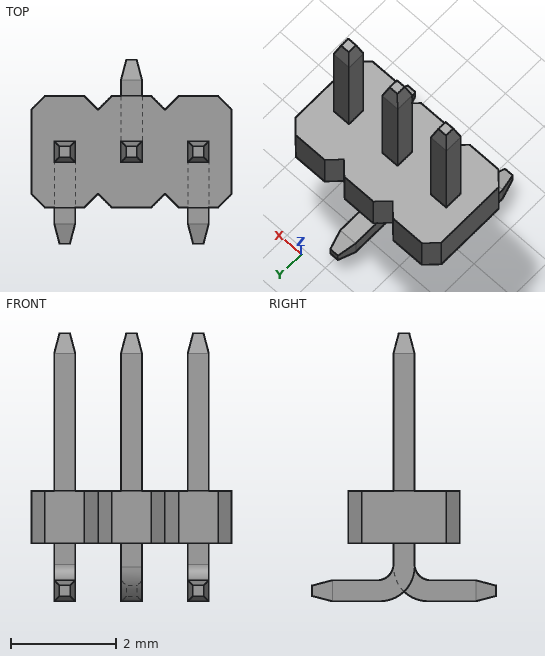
import cadquery as cq
import math

pin_count = 3
pitch = 1.27
total_height = 5.1
tail_span = 3.5

body_depth = 2.12
body_height = 1.0
body_bottom = 1.1
corner_x = 0.26
corner_y = 0.26

pin_width = 0.405
half_pin = pin_width / 2
tip_length = 0.38
tip_width = pin_width / 2
outer_bend_radius = 0.66
inner_bend_radius = 0.305
tail_reach = tail_span / 2


def body_cell(x):
    """One octagonal cell of the body, centred on its pin."""
    inner_x = pitch / 2 - corner_x
    inner_y = body_depth / 2 - corner_y
    corners = []
    for sx, sy in ((1, 1), (-1, 1), (-1, -1), (1, -1)):
        side = (x + sx * pitch / 2, sy * inner_y)
        end = (x + sx * inner_x, sy * body_depth / 2)
        corners += [side, end] if sx == sy else [end, side]
    return (
        cq.Workplane("XY", origin=(0, 0, body_bottom))
        .polyline(corners)
        .close()
        .extrude(body_height)
    )


def tapered_tip(base_plane):
    """Pyramidal pin end that grows from the given plane."""
    return (
        cq.Workplane(base_plane)
        .rect(pin_width, pin_width)
        .workplane(offset=tip_length)
        .rect(tip_width, tip_width)
        .loft(ruled=True)
    )


def bent_pin(x, direction):
    """Pin whose foot points to +Y (direction 1) or -Y (direction -1)."""
    foot_end = direction * (tail_reach - tip_length)
    shaft_top = total_height - tip_length
    near_side = direction * half_pin
    far_side = -near_side
    diagonal = math.sqrt(0.5)

    outer_center_y = far_side + direction * outer_bend_radius
    inner_center_y = near_side + direction * inner_bend_radius
    inner_center_z = pin_width + inner_bend_radius
    outer_middle = (
        outer_center_y - direction * outer_bend_radius * diagonal,
        outer_bend_radius * (1 - diagonal),
    )
    inner_middle = (
        inner_center_y - direction * inner_bend_radius * diagonal,
        inner_center_z - inner_bend_radius * diagonal,
    )
    bar = (
        cq.Workplane("YZ", origin=(x, 0, 0))
        .moveTo(far_side, shaft_top)
        .lineTo(far_side, outer_bend_radius)
        .threePointArc(outer_middle, (outer_center_y, 0))
        .lineTo(foot_end, 0)
        .lineTo(foot_end, pin_width)
        .lineTo(inner_center_y, pin_width)
        .threePointArc(inner_middle, (near_side, inner_center_z))
        .lineTo(near_side, shaft_top)
        .close()
        .extrude(half_pin, both=True)
    )
    top_plane = cq.Plane((x, 0, shaft_top), xDir=(1, 0, 0), normal=(0, 0, 1))
    foot_plane = cq.Plane((x, foot_end, half_pin), xDir=(1, 0, 0), normal=(0, direction, 0))
    return bar.union(tapered_tip(top_plane)).union(tapered_tip(foot_plane))


pin_positions = [(i - (pin_count - 1) / 2) * pitch for i in range(pin_count)]
result = body_cell(pin_positions[0])
for x in pin_positions[1:]:
    result = result.union(body_cell(x))
for i, x in enumerate(pin_positions):
    result = result.union(bent_pin(x, -1 if i % 2 == 0 else 1))
result = result.clean()